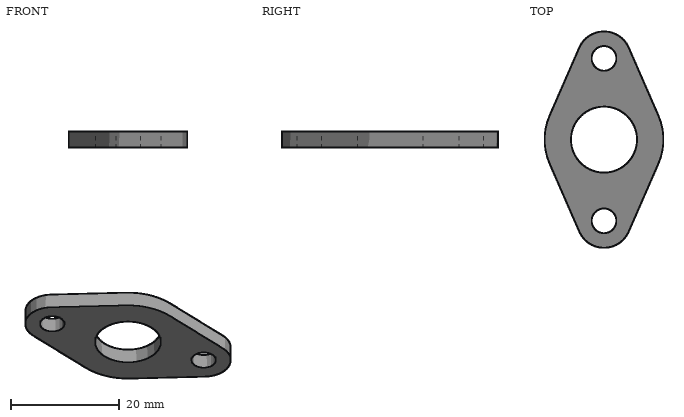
import cadquery as cq
import math

length = 40.0
thickness = 3.0
end_radius = 5.0
middle_radius = 11.0
bore_diameter = 12.15
bolt_hole_diameter = 4.5

bolt_offset = length / 2 - end_radius

tangent_sin = (middle_radius - end_radius) / bolt_offset
tangent_cos = math.sqrt(1 - tangent_sin**2)
middle_x = middle_radius * tangent_cos
middle_y = middle_radius * tangent_sin
end_x = end_radius * tangent_cos
end_y = bolt_offset + end_radius * tangent_sin

plate = (
    cq.Workplane("XY")
    .moveTo(middle_x, -middle_y)
    .threePointArc((middle_radius, 0), (middle_x, middle_y))
    .lineTo(end_x, end_y)
    .threePointArc((0, length / 2), (-end_x, end_y))
    .lineTo(-middle_x, middle_y)
    .threePointArc((-middle_radius, 0), (-middle_x, -middle_y))
    .lineTo(-end_x, -end_y)
    .threePointArc((0, -length / 2), (end_x, -end_y))
    .close()
    .extrude(thickness)
)

plate = plate.faces(">Z").workplane(origin=(0, 0, thickness)).hole(bore_diameter)

result = (
    plate.faces(">Z")
    .workplane(origin=(0, 0, thickness))
    .pushPoints([(0, -bolt_offset), (0, bolt_offset)])
    .hole(bolt_hole_diameter)
)